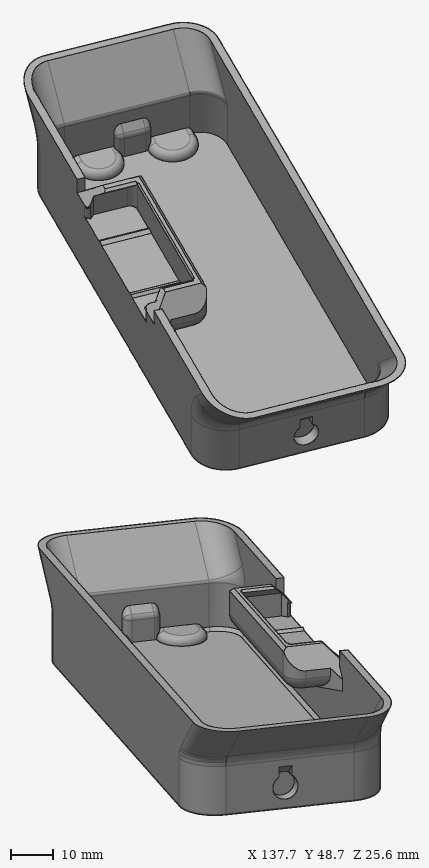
import math

import cadquery as cq

rim_length = 137.7
tray_width = 48.7
rim_height = 25.0
base_length = 115.6
wall = 2.0
floor_thickness = 1.8
corner_radius = 8.7
outer_bend_radius = 4.0
inner_bend_radius = 1.0
base_edge_radius = 0.4
floor_chamfer = 0.85

half_width = tray_width / 2
half_rim = rim_length / 2
half_base = base_length / 2
bend_height = rim_height - (half_rim - half_base)
bend_angle = math.radians(45)
bend_steps = 3
corner_start = half_width - corner_radius

box_half_length = 25.0
box_depth = 14.5
box_bottom = 15.7
box_shoulder = 20.9
box_top = 25.56
box_corner_radius = 4.3
box_bottom_radius = 3.2
box_wall_flare = 2.3
box_lip_chamfer = 0.85
shoulder_slope = box_top - box_shoulder
front_face = -half_width
box_back = front_face + box_depth

cavity_half_length = 20.0
cavity_depth = 12.4
cavity_floor = 17.5
cavity_corner_radius = 1.9
lip_half_length = 18.1
lip_edge = 25.1
lip_chamfer = 0.85
back_lip_chamfer = 0.35
latch_throat = 18.85
throat_depth = 1.0
opening_half_length = 20.2

rib_inner = 9.0
rib_peak = 10.2
rib_outer = 11.0
rib_height = 0.5

mount_y = 1.1
keyhole_diameter = 6.12
keyhole_height = 5.5
slot_width = 3.1
slot_top = 10.6
keyhole_depth = 3.0
block_length = 9.0
block_top = 11.2
block_reach = 2.2
block_edge_radius = 1.8

pad_radius = 6.0
pad_height = 2.0
pad_edge_radius = 1.9
pad_center_x = 53.4
pad_spacing = 18.5


def bend_point(half_foot, bend_radius, angle):
    """Half length and height on a rounded bend at an angle from its upright end."""
    tangent = bend_radius * math.tan(bend_angle / 2)
    x = half_foot + bend_radius * (1 - math.cos(angle))
    z = bend_height - tangent + bend_radius * math.sin(angle)
    return x, z


def back_section(half_length, radius, height):
    """Horizontal wire of the back strip, with its two rear corners round."""
    middle = radius * math.sqrt(0.5)
    center_x = half_length - radius
    back = corner_start + radius
    outline = cq.Workplane("XY", origin=(0, 0, height)).moveTo(-half_length, corner_start)
    outline = outline.lineTo(half_length, corner_start)
    outline = outline.threePointArc((center_x + middle, corner_start + middle), (center_x, back))
    outline = outline.lineTo(-center_x, back)
    outline = outline.threePointArc((-center_x - middle, corner_start + middle), (-half_length, corner_start))
    return outline.close().wires().val()


def front_part(half_foot, bottom, bend_radius, radius):
    """Flared block from the corner start to the front, with its front ends rounded."""
    half_top = half_foot + rim_height - bend_height
    lower_x, lower_z = bend_point(half_foot, bend_radius, 0)
    middle_x, middle_z = bend_point(half_foot, bend_radius, bend_angle / 2)
    upper_x, upper_z = bend_point(half_foot, bend_radius, bend_angle)
    outline = cq.Workplane("XZ", origin=(0, corner_start, 0)).moveTo(-half_foot, bottom)
    outline = outline.lineTo(half_foot, bottom).lineTo(lower_x, lower_z)
    outline = outline.threePointArc((middle_x, middle_z), (upper_x, upper_z))
    outline = outline.lineTo(half_top, rim_height).lineTo(-half_top, rim_height)
    outline = outline.lineTo(-upper_x, upper_z)
    outline = outline.threePointArc((-middle_x, middle_z), (-lower_x, lower_z))
    block = outline.close().extrude(2 * corner_start + radius)
    return block.faces("<Y").edges("not |X").fillet(radius)


def back_part(half_foot, bottom, bend_radius, radius):
    """Flared strip behind the corner start, ruled between horizontal sections."""
    half_top = half_foot + rim_height - bend_height
    levels = [(half_foot, bottom)]
    for step in range(bend_steps + 1):
        levels.append(bend_point(half_foot, bend_radius, bend_angle * step / bend_steps))
    levels.append((half_top, rim_height))
    sections = [back_section(x, radius, z) for x, z in levels]
    strip = cq.Workplane(cq.Solid.makeLoft(sections[:2], True))
    for lower, upper in zip(sections[1:], sections[2:]):
        strip = strip.union(cq.Workplane(cq.Solid.makeLoft([lower, upper], True)))
    return strip


def outer_body():
    sizes = (half_base, 0, outer_bend_radius, corner_radius)
    body = front_part(*sizes).union(back_part(*sizes))
    return body.faces("<Z").edges().fillet(base_edge_radius)


def inner_space():
    sizes = (half_base - wall, floor_thickness, inner_bend_radius, corner_radius - wall)
    front = front_part(*sizes)
    front = front.faces("<Z").edges("not >Y").chamfer(floor_chamfer)
    return front.union(back_part(*sizes))


def floor_pad(side, y):
    """Pad with a rounded top edge, round on its inner end, that runs into an end wall."""
    stretch = 2 * pad_radius
    inside_wall = half_base - wall / 2
    pad = cq.Workplane("XY", origin=(side * (pad_center_x + stretch / 2), y, floor_thickness / 2))
    pad = pad.slot2D(stretch + 2 * pad_radius, 2 * pad_radius).extrude(floor_thickness / 2 + pad_height)
    pad = pad.faces(">Z").edges().fillet(pad_edge_radius)
    room = cq.Workplane("XY").box(2 * inside_wall, tray_width, rim_height)
    return pad.intersect(room)


def screw_block(side):
    """Block inside an end wall that closes the keyhole, with a sloped and rounded top."""
    inner_face = half_base - wall - block_reach
    wall_middle = half_base - wall / 2
    top = block_top - (wall_middle - inner_face)
    outline = [
        (side * wall_middle, floor_thickness / 2),
        (side * inner_face, floor_thickness / 2),
        (side * inner_face, top),
        (side * wall_middle, block_top),
    ]
    block = cq.Workplane("XZ", origin=(0, mount_y + block_length / 2, 0)).polyline(outline).close()
    block = block.extrude(block_length)
    wall_side = ">X" if side > 0 else "<X"
    return block.edges(f"not ({wall_side} or <Z)").fillet(block_edge_radius)


def keyhole(side):
    """Blind round screw entry with a narrow slot above it whose roof slopes 45 degrees."""
    hole = cq.Workplane("YZ", origin=(side * half_base, mount_y, keyhole_height))
    hole = hole.circle(keyhole_diameter / 2).extrude(-side * keyhole_depth)
    outline = [
        (side * half_base, keyhole_height),
        (side * half_base, slot_top),
        (side * (half_base - keyhole_depth), slot_top - keyhole_depth),
        (side * (half_base - keyhole_depth), keyhole_height),
    ]
    slot = cq.Workplane("XZ", origin=(0, mount_y + slot_width / 2, 0)).polyline(outline).close()
    return hole.union(slot.extrude(slot_width))


def latch_box():
    """Solid box on the front wall with sloped sides and front above its shoulder."""
    inner_wall_y = front_face + wall
    foot = box_half_length + box_wall_flare
    half_plan = [
        (foot, front_face),
        (foot, inner_wall_y),
        (box_half_length, inner_wall_y + box_wall_flare),
        (box_half_length, box_back),
    ]
    plan = half_plan + [(-x, y) for x, y in reversed(half_plan)]
    box = cq.Workplane("XY", origin=(0, 0, box_bottom)).polyline(plan).close().extrude(box_top - box_bottom)
    box = box.edges("|Z and >Y").fillet(box_corner_radius)
    box = box.faces("<Z").edges(">Y").fillet(box_bottom_radius)

    half_top = box_half_length - shoulder_slope
    foot_shoulder = box_shoulder - box_wall_flare
    half_cross = [(foot, box_bottom), (foot, foot_shoulder), (half_top, box_top)]
    cross = half_cross + [(-x, z) for x, z in reversed(half_cross)]
    sides = cq.Workplane("XZ", origin=(0, box_back, 0)).polyline(cross).close().extrude(box_depth)

    lengthwise = [
        (front_face, box_bottom),
        (front_face, box_shoulder),
        (front_face + shoulder_slope, box_top),
        (box_back - box_lip_chamfer, box_top),
        (box_back, box_top - box_lip_chamfer),
        (box_back, box_bottom),
    ]
    ends = cq.Workplane("YZ", origin=(-foot, 0, 0)).polyline(lengthwise).close().extrude(2 * foot)
    return box.intersect(sides).intersect(ends)


def wall_notch():
    height = rim_height - box_shoulder
    notch = cq.Workplane("XY").box(2 * box_half_length, wall, height, centered=(True, False, False))
    return notch.translate((0, front_face, box_shoulder))


def latch_cavity():
    """Open-fronted cavity with overhanging side lips and a narrow throat at the front."""
    back = front_face + cavity_depth
    throat_step = cavity_half_length - latch_throat
    half_plan = [
        (latch_throat, front_face),
        (latch_throat, front_face + throat_depth),
        (cavity_half_length, front_face + throat_depth + throat_step),
        (cavity_half_length, back),
    ]
    plan = half_plan + [(-x, y) for x, y in reversed(half_plan)]
    cavity = cq.Workplane("XY", origin=(0, 0, cavity_floor)).polyline(plan).close()
    cavity = cavity.extrude(box_top - cavity_floor)
    cavity = cavity.edges("|Z and >Y").fillet(cavity_corner_radius)

    half_cross = [
        (cavity_half_length, cavity_floor),
        (cavity_half_length, lip_edge - (cavity_half_length - lip_half_length)),
        (lip_half_length, lip_edge),
        (lip_half_length + lip_chamfer, box_top),
    ]
    cross = half_cross + [(-x, z) for x, z in reversed(half_cross)]
    dovetail = cq.Workplane("XZ", origin=(0, back, 0)).polyline(cross).close().extrude(cavity_depth)

    corner = [(back, box_top), (back, lip_edge), (back + back_lip_chamfer, box_top)]
    back_bevel = cq.Workplane("YZ", origin=(-lip_half_length, 0, 0)).polyline(corner).close()
    return cavity.intersect(dovetail).union(back_bevel.extrude(2 * lip_half_length))


def opening_flare():
    """Rounded front edge of the cavity mouth, below the shoulder."""
    radius = opening_half_length - latch_throat
    middle = radius * (1 - math.sqrt(0.5))
    mouth = cq.Workplane("XY", origin=(0, front_face, cavity_floor)).moveTo(-opening_half_length, 0)
    mouth = mouth.threePointArc((-latch_throat - middle, middle), (-latch_throat, radius))
    mouth = mouth.lineTo(latch_throat, radius)
    mouth = mouth.threePointArc((latch_throat + middle, middle), (opening_half_length, 0))
    return mouth.close().extrude(box_shoulder - cavity_floor)


def cavity_rib(side):
    """Low ridge running from the mouth of the cavity to its back."""
    outline = [
        (side * rib_inner, cavity_floor),
        (side * rib_peak, cavity_floor + rib_height),
        (side * rib_outer, cavity_floor),
    ]
    rib = cq.Workplane("XZ", origin=(0, front_face + cavity_depth, 0)).polyline(outline).close()
    return rib.extrude(cavity_depth)


tray = outer_body().cut(inner_space())
for side in (-1, 1):
    for offset in (-pad_spacing / 2, pad_spacing / 2):
        tray = tray.union(floor_pad(side, mount_y + offset))
    tray = tray.union(screw_block(side)).cut(keyhole(side))

tray = tray.cut(wall_notch()).union(latch_box())
tray = tray.cut(latch_cavity()).cut(opening_flare())
for side in (-1, 1):
    tray = tray.union(cavity_rib(side))

result = tray